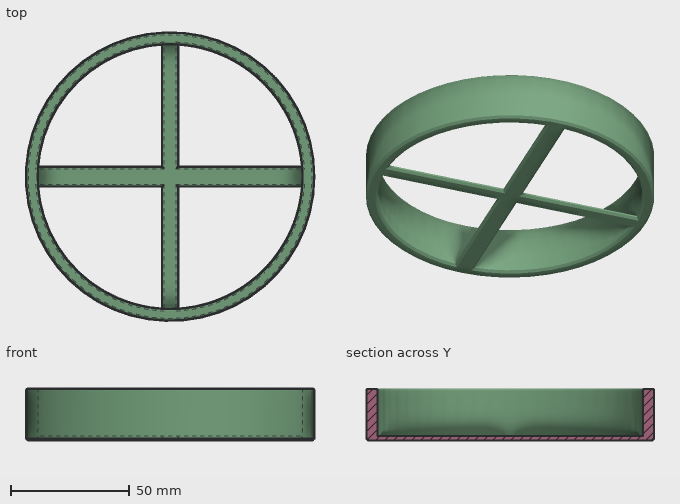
import cadquery as cq
outer_diameter = 122
inner_diameter = 112.0
ring_height = 22

bar_along_x_width = 8.5
bar_along_y_width = 7.0
bar_thickness = 2.0

rim_radius = 1.0
bar_edge_radius = 0.7
bottom_chamfer = 1.0

bar_length = (outer_diameter + inner_diameter) / 2


def make_ring():
    """Plain ring with its upper edges rounded and its lower edges chamfered."""
    ring = (
        cq.Workplane("XY")
        .circle(outer_diameter / 2)
        .circle(inner_diameter / 2)
        .extrude(ring_height)
    )
    ring = ring.faces("<Z").edges().chamfer(bottom_chamfer)
    return ring.faces(">Z").edges().fillet(rim_radius)


def make_cross():
    """Two crossed bars with their upper edges rounded and lower edges chamfered."""
    bar_along_x = cq.Workplane("XY").rect(bar_length, bar_along_x_width).extrude(bar_thickness)
    bar_along_y = cq.Workplane("XY").rect(bar_along_y_width, bar_length).extrude(bar_thickness)
    cross = bar_along_x.union(bar_along_y)
    cross = cross.faces("<Z").edges().chamfer(bottom_chamfer)
    return cross.faces(">Z").edges().fillet(bar_edge_radius)


result = make_ring().union(make_cross())